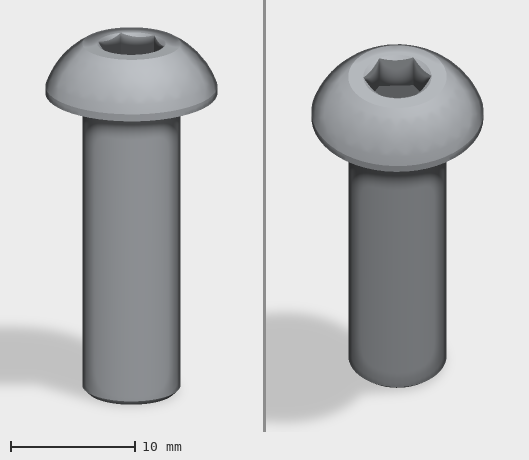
import cadquery as cq
import math

INCH = 25.4
shank_diameter = 0.3125 * INCH
shank_length = 1.0 * INCH
head_diameter = 0.547 * INCH
head_height = 0.166 * INCH
rim_height = 0.6
crown_diameter = shank_diameter
dome_radius = 6.6
tip_chamfer = 0.43
hex_sides = 6
hex_turn = 90.0
hex_across_flats = 0.1875 * INCH
hex_depth = 2.9
socket_chamfer_angle = 35.0

shank_radius = shank_diameter / 2
head_radius = head_diameter / 2
crown_radius = crown_diameter / 2
hex_across_corners = hex_across_flats / math.cos(math.pi / hex_sides)


def dome_midpoint():
    """Middle of the arc of dome_radius from the rim edge to the crown edge, as (radius, height)."""
    run = crown_radius - head_radius
    rise = head_height - rim_height
    chord = math.hypot(run, rise)
    sagitta = dome_radius - math.sqrt(dome_radius**2 - (chord / 2) ** 2)
    radius = (head_radius + crown_radius) / 2 + sagitta * rise / chord
    height = (rim_height + head_height) / 2 - sagitta * run / chord
    return radius, height


def make_body():
    """Head and shank revolved about Z, with the underside of the head at Z = 0."""
    return (
        cq.Workplane("XZ")
        .moveTo(0, -shank_length)
        .lineTo(shank_radius - tip_chamfer, -shank_length)
        .lineTo(shank_radius, -shank_length + tip_chamfer)
        .lineTo(shank_radius, 0)
        .lineTo(head_radius, 0)
        .lineTo(head_radius, rim_height)
        .threePointArc(dome_midpoint(), (crown_radius, head_height))
        .lineTo(0, head_height)
        .close()
        .revolve(360, (0, 0, 0), (0, 1, 0))
    )


def make_socket():
    """Hexagonal recess with corners on the Y axis and a conical entry."""
    hexagon = (
        cq.Workplane("XY", origin=(0, 0, head_height))
        .transformed(rotate=(0, 0, hex_turn))
        .polygon(hex_sides, hex_across_corners)
        .extrude(-hex_depth)
    )
    entry_radius = hex_across_corners / 2
    cone_height = entry_radius * math.tan(math.radians(socket_chamfer_angle))
    entry_cone = cq.Workplane(
        cq.Solid.makeCone(0, entry_radius, cone_height, cq.Vector(0, 0, head_height - cone_height))
    )
    return hexagon.union(entry_cone)


result = make_body().cut(make_socket())